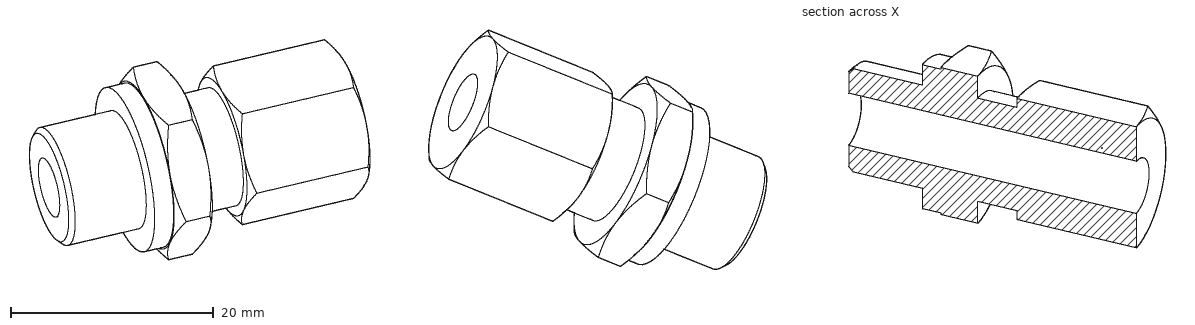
import cadquery as cq
import math

stud_end = 8.0
collar_end = 10.0
body_hex_end = 14.0
nut_start = 18.23
total_length = 31.2

stem_diameter = 12.0
stem_chamfer = 0.5
bore_diameter = 6.0
collar_diameter = 16.67
body_across_flats = 17.0
nut_across_flats = 14.0
hex_chamfer_angle = 30.0


def section_plane(y):
    """Plane across the fitting axis at y, with its normal toward +Y."""
    return cq.Workplane("XZ", origin=(0, y, 0)).workplane(invert=True)


def cylinder(diameter, start, end):
    return section_plane(start).circle(diameter / 2).extrude(end - start)


def chamfered_hex(across_flats, start, end):
    """Hexagon with corners on X, its ends turned to cones that meet the flats at mid-width."""
    flat_radius = across_flats / 2
    corner_radius = flat_radius / math.cos(math.radians(30))
    corner_drop = (corner_radius - flat_radius) * math.tan(math.radians(hex_chamfer_angle))
    prism = section_plane(start).polygon(6, 2 * corner_radius).extrude(end - start)
    turned_envelope = (
        cq.Workplane("XY")
        .polyline([
            (0, start),
            (flat_radius, start),
            (corner_radius, start + corner_drop),
            (corner_radius, end - corner_drop),
            (flat_radius, end),
            (0, end),
        ])
        .close()
        .revolve(360, (0, 0, 0), (0, 1, 0))
    )
    return prism.intersect(turned_envelope)


stem = cylinder(stem_diameter, 0, total_length).faces("<Y").chamfer(stem_chamfer)

collar = cylinder(collar_diameter, stud_end, collar_end)
body_hex = chamfered_hex(body_across_flats, collar_end, body_hex_end)
nut = chamfered_hex(nut_across_flats, nut_start, total_length)

bore = cylinder(bore_diameter, 0, total_length)

result = stem.union(collar).union(body_hex).union(nut).cut(bore)